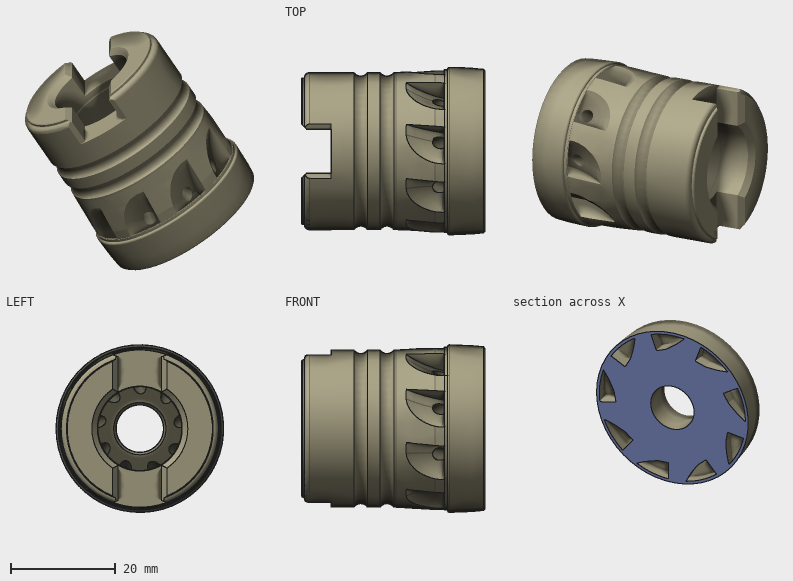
import cadquery as cq
import math

LENGTH = 35.0

BARREL_R = 15.0
NOSE_R = 14.0
NOSE_CHAMFER = 0.15
STEP_X = 0.55
STEP_FILLET = BARREL_R - NOSE_R

GROOVE_CENTRES = (11.3, 16.3)
GROOVE_HALF_WIDTH = 1.3
GROOVE_DEPTH = 0.67

FLARE_START_X = 18.0
FLARE_END_X = 25.5
FLARE_R = 15.45
LAND_START_X = 27.3
LAND_R = 15.55

COLLAR_X = 27.85
COLLAR_R = 16.0
COLLAR_FILLET = 0.4
COLLAR_BACK_R = 15.62
CROWN_MID_SAG = 0.1
BACK_CHAMFER = 0.3

BORE_ENTRY_R = 8.1
BORE_R = 8.0
BORE_ENTRY_CHAMFER = 1.05
BORE_TAPER_START_X = 6.8
BORE_TAPER_END_X = 7.1
BORE_FLOOR_X = 22.0
THROUGH_R = 4.5
THROUGH_CHAMFER = 0.5

SLOT_HALF_WIDTH = 4.18
SLOT_DEPTH = 5.64
SLOT_CHAMFER = 1.0
SLOT_EDGE_DROP = 0.7

POCKET_COUNT = 9
POCKET_PHASE = 20.0
POCKET_END_X = 27.2
POCKET_LENGTH = 7.4
POCKET_RIM_Z = 15.05
POCKET_MID_Z = 13.05
POCKET_FLOOR_Z = 11.95
POCKET_AXIS_Y = -2.75
POCKET_FLAT_WIDTH = 2.05
POCKET_YAW = 5.0

UNDERCUT_R = 15.3
UNDERCUT_LENGTH = 4.0

HOLE_D = 2.4
HOLE_TILT = 45.0
HOLE_FLOOR_Z = 7.8
HOLE_LENGTH = 9.5
HOLE_LEAD = 1.5

CLEARANCE = 3.0

ARC_MID_INSET = 1 - math.sqrt(0.5)


def turned_body():
    """Outer envelope, revolved about X from a half profile in the XY plane."""
    fillet_mid = STEP_FILLET * ARC_MID_INSET
    profile = (
        cq.Workplane("XY")
        .moveTo(0, 0)
        .lineTo(0, NOSE_R - NOSE_CHAMFER)
        .lineTo(NOSE_CHAMFER, NOSE_R)
        .lineTo(STEP_X, NOSE_R)
        .threePointArc(
            (STEP_X + fillet_mid, BARREL_R - fillet_mid),
            (STEP_X + STEP_FILLET, BARREL_R),
        )
    )
    for centre in GROOVE_CENTRES:
        profile = profile.lineTo(centre - GROOVE_HALF_WIDTH, BARREL_R).threePointArc(
            (centre, BARREL_R - GROOVE_DEPTH),
            (centre + GROOVE_HALF_WIDTH, BARREL_R),
        )

    collar_mid = COLLAR_FILLET * ARC_MID_INSET
    crown_start_x = COLLAR_X + COLLAR_FILLET
    crown_end_x = LENGTH - BACK_CHAMFER
    profile = (
        profile.lineTo(FLARE_START_X, BARREL_R)
        .lineTo(FLARE_END_X, FLARE_R)
        .lineTo(LAND_START_X, FLARE_R)
        .lineTo(LAND_START_X, LAND_R)
        .lineTo(COLLAR_X, LAND_R)
        .lineTo(COLLAR_X, COLLAR_R - COLLAR_FILLET)
        .threePointArc(
            (COLLAR_X + collar_mid, COLLAR_R - collar_mid),
            (crown_start_x, COLLAR_R),
        )
        .threePointArc(
            ((crown_start_x + crown_end_x) / 2, COLLAR_R - CROWN_MID_SAG),
            (crown_end_x, COLLAR_BACK_R),
        )
        .lineTo(LENGTH, COLLAR_BACK_R - BACK_CHAMFER)
        .lineTo(LENGTH, 0)
        .close()
    )
    return profile.revolve(360, (0, 0, 0), (1, 0, 0))


def stepped_bore():
    """Chamfered blind bore from the nose, then a smaller hole through the back."""
    return (
        cq.Workplane("XY")
        .moveTo(0, 0)
        .lineTo(0, BORE_ENTRY_R + BORE_ENTRY_CHAMFER)
        .lineTo(BORE_ENTRY_CHAMFER, BORE_ENTRY_R)
        .lineTo(BORE_TAPER_START_X, BORE_ENTRY_R)
        .lineTo(BORE_TAPER_END_X, BORE_R)
        .lineTo(BORE_FLOOR_X, BORE_R)
        .lineTo(BORE_FLOOR_X, THROUGH_R + THROUGH_CHAMFER)
        .lineTo(BORE_FLOOR_X + THROUGH_CHAMFER, THROUGH_R)
        .lineTo(LENGTH, THROUGH_R)
        .lineTo(LENGTH, 0)
        .close()
        .revolve(360, (0, 0, 0), (1, 0, 0))
    )


def nose_slot():
    """Slot along Z through the nose, with a chamfered mouth."""
    mouth = SLOT_HALF_WIDTH + SLOT_CHAMFER
    return (
        cq.Workplane("XY")
        .moveTo(0, -mouth)
        .lineTo(SLOT_CHAMFER, -SLOT_HALF_WIDTH)
        .lineTo(SLOT_DEPTH, -SLOT_HALF_WIDTH)
        .lineTo(SLOT_DEPTH, SLOT_HALF_WIDTH)
        .lineTo(SLOT_CHAMFER, SLOT_HALF_WIDTH)
        .lineTo(0, mouth)
        .close()
        .extrude(BARREL_R + CLEARANCE, both=True)
    )


def slot_edge_bevels():
    """Wedges that bevel the four edges between the slot walls and the barrel."""
    outer_y = SLOT_HALF_WIDTH + SLOT_CHAMFER
    outer_z = math.sqrt(BARREL_R**2 - outer_y**2)
    inner_z = math.sqrt(BARREL_R**2 - SLOT_HALF_WIDTH**2) - SLOT_EDGE_DROP
    wedge = (
        cq.Workplane("YZ")
        .moveTo(SLOT_HALF_WIDTH, inner_z)
        .lineTo(outer_y, outer_z)
        .lineTo(outer_y, BARREL_R)
        .lineTo(SLOT_HALF_WIDTH, BARREL_R)
        .close()
        .extrude(SLOT_DEPTH)
    )
    pair = wedge.union(wedge.mirror("XZ"))
    return pair.union(pair.mirror("XY"))


def pocket_section(plane):
    """Section of a pocket between its dome axis at 0 and its rim at -POCKET_LENGTH."""
    top_z = COLLAR_R + CLEARANCE
    return (
        cq.Workplane(plane)
        .moveTo(0, POCKET_FLOOR_Z)
        .threePointArc(
            (-POCKET_LENGTH / 2, POCKET_MID_Z),
            (-POCKET_LENGTH, POCKET_RIM_Z),
        )
        .lineTo(-POCKET_LENGTH, top_z)
        .lineTo(0, top_z)
        .close()
    )


def pocket():
    """Scoop whose floor runs straight on beneath the collar, walled on its +Y side."""
    strip = pocket_section("XZ").extrude(-POCKET_FLAT_WIDTH)
    dome = pocket_section("XZ").revolve(90, (0, 0, 0), (0, 1, 0))
    strip_height = COLLAR_R + CLEARANCE - POCKET_FLOOR_Z
    strip_run = (
        cq.Workplane("XY", origin=(0, 0, POCKET_FLOOR_Z))
        .box(UNDERCUT_LENGTH, POCKET_FLAT_WIDTH, strip_height, centered=False)
    )
    dome_run = pocket_section("YZ").extrude(UNDERCUT_LENGTH)
    scoop = (
        strip.union(dome)
        .union(strip_run)
        .union(dome_run)
        .rotate((0, 0, 0), (0, 0, 1), -POCKET_YAW)
        .translate((POCKET_END_X, POCKET_AXIS_Y, 0))
    )
    collar_lip = (
        cq.Workplane("YZ", origin=(POCKET_END_X, 0, 0))
        .circle(COLLAR_R + 2 * CLEARANCE)
        .circle(UNDERCUT_R)
        .extrude(LENGTH)
    )
    return scoop.cut(collar_lip)


def oblique_hole():
    """Drilled hole from the bore floor, rising towards the back into a pocket."""
    tilt = math.radians(HOLE_TILT)
    direction = cq.Vector(math.cos(tilt), 0, math.sin(tilt))
    at_floor = cq.Vector(BORE_FLOOR_X, POCKET_AXIS_Y, HOLE_FLOOR_Z)
    start = at_floor - direction * HOLE_LEAD
    return cq.Workplane(cq.Solid.makeCylinder(HOLE_D / 2, HOLE_LENGTH, start, direction))


result = turned_body().cut(stepped_bore()).cut(nose_slot()).cut(slot_edge_bevels())

pocket_cutter = pocket()
hole_cutter = oblique_hole()
for index in range(POCKET_COUNT):
    turn = POCKET_PHASE + index * 360 / POCKET_COUNT
    for cutter in (pocket_cutter, hole_cutter):
        result = result.cut(cutter.rotate((0, 0, 0), (1, 0, 0), turn))